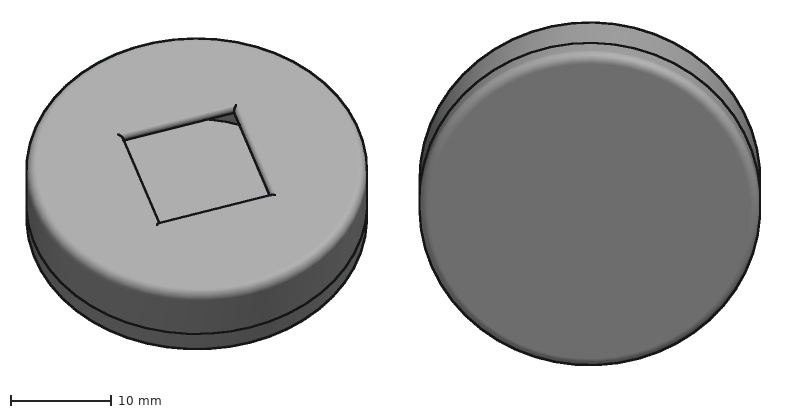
import cadquery as cq

outer_diameter = 34.0
total_height = 9.0
edge_radius = 1.0

base_height = 3.0
floor_thickness = 1.0
collar_outer_diameter = 28.4
collar_inner_diameter = 25.4

plate_thickness = 1.0
window_side = 11.6
rim_radius = plate_thickness / 2

plate_underside = total_height - plate_thickness


def disc(diameter, bottom, top):
    """Solid cylinder on the Z axis between two heights."""
    return cq.Workplane("XY").workplane(offset=bottom).circle(diameter / 2).extrude(top - bottom)


def make_base():
    """Rounded disc carrying a collar that reaches the underside of the cap plate."""
    foot = disc(outer_diameter, 0, base_height).faces("<Z").edges().fillet(edge_radius)
    collar = disc(collar_outer_diameter, base_height, plate_underside)
    cavity = disc(collar_inner_diameter, floor_thickness, plate_underside)
    return foot.union(collar).cut(cavity)


def make_window():
    """Square window cutter that flares along quarter arcs from mid-plate to both plate faces."""
    mid_height = total_height - rim_radius
    flared_side = window_side + 2 * rim_radius
    blank = (
        cq.Workplane("XY")
        .workplane(offset=plate_underside)
        .rect(flared_side, flared_side)
        .extrude(plate_thickness)
    )
    rim_bar = (
        cq.Workplane("XZ")
        .center(flared_side / 2, mid_height)
        .circle(rim_radius)
        .extrude(flared_side / 2, both=True)
    )
    for side in range(4):
        blank = blank.cut(rim_bar.rotate((0, 0, 0), (0, 0, 1), 90 * side))
    return blank


def make_cap():
    """Rounded cup that fits over the collar, open through the square window."""
    shell = disc(outer_diameter, base_height, total_height)
    shell = shell.faces(">Z").edges().fillet(edge_radius)
    collar_bore = disc(collar_outer_diameter, base_height, plate_underside)
    return shell.cut(collar_bore).cut(make_window())


base = make_base()
cap = make_cap()

result = cq.Compound.makeCompound([base.solids().val(), cap.solids().val()])